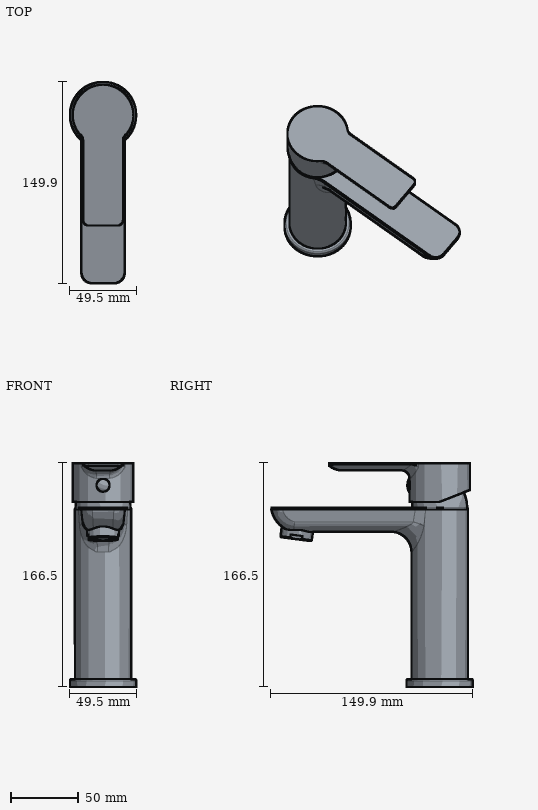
import cadquery as cq
import math


flange_radius = 49.5 / 2
flange_height = 6.0
flange_edge_radius = 1.3

column_radius = 42.1 / 2
spout_top = 133.4
rim_height = 1.3
rim_inset = 0.5
neck_radius = column_radius - rim_inset
neck_curve_radius = 25.5
neck_reach = 15

joint_height = 137.7
joint_slope = 0.39

spout_tip = 125.4
spout_half_width = 32.8 / 2
spout_floor_half_width = 14.5
spout_floor = 115.4
nose_start = 108.7
nose_middle = (120.2, 122.0)
spout_edge_radius = 8.3
spout_root_radius = 15

aerator_radius = 11.8
aerator_tilt = 7.4
aerator_outlet = (0, -106.7, 109.9)
aerator_length = 10
aerator_chamfer = 0.8
recess_radius = 9.7
recess_depth = 0.5
wrench_flat_width = 9.3
wrench_flat_height = 3.0
wrench_flat_distance = 11.0

handle_radius = 45.1 / 2
handle_top = 166.5
lever_tip = 82.1
lever_half_width = 14.7
lever_floor = 161.0
lever_edge_height = 1.0
lever_floor_half_width = 6.0
lever_corner = (11.3, 162.7)
lever_tip_height = 2.0
lever_nose_start = 74.1
lever_nose_middle = (79.0, 162.5)
lever_corner_radius = 3.7
lever_root_radius = 5.8

button_radius = 4.8
button_height = 150.0
button_rim = 22.8
button_crown = 24.1

tolerance = 0.03


def joint_space():
    """The space above the joint faces, wider than the column."""
    reach = 2 * handle_radius
    ceiling = 2 * handle_top
    return (
        cq.Workplane("YZ")
        .moveTo(-reach, joint_height)
        .lineTo(0, joint_height)
        .lineTo(reach, joint_height + joint_slope * reach)
        .lineTo(reach, ceiling)
        .lineTo(-reach, ceiling)
        .close()
        .extrude(reach, both=True)
    )


def on_cylinder(edge, radius):
    """True if the edge lies on the front of an upright cylinder about the Z axis."""
    points = [edge.positionAt(t) for t in (0.05, 0.3, 0.5, 0.7, 0.95)]
    return all(p.y < 0 and abs(math.hypot(p.x, p.y) - radius) < tolerance for p in points)


def root_edges(solid, radius, floor, top):
    """Edges where an arm leaves a cylinder, between the arm's floor and its flat top."""
    return [
        edge
        for edge in solid.edges().vals()
        if on_cylinder(edge, radius) and floor - tolerance < edge.Center().z < top - tolerance
    ]


def make_spout():
    section = (
        cq.Workplane("XZ")
        .moveTo(-spout_half_width, spout_top)
        .lineTo(spout_half_width, spout_top)
        .lineTo(spout_floor_half_width, spout_floor)
        .lineTo(-spout_floor_half_width, spout_floor)
        .close()
        .extrude(spout_tip)
    )
    nose_y, nose_z = nose_middle
    profile = (
        cq.Workplane("YZ")
        .moveTo(0, spout_top)
        .lineTo(-spout_tip, spout_top)
        .threePointArc((-nose_y, nose_z), (-nose_start, spout_floor))
        .lineTo(0, spout_floor)
        .close()
        .extrude(spout_half_width, both=True)
    )
    spout = section.intersect(profile)
    lower_edges = [
        edge
        for edge in spout.edges().vals()
        if abs(edge.Center().x) > spout_floor_half_width / 2
        and edge.Center().y < -tolerance
        and edge.Center().z < spout_top - tolerance
    ]
    return spout.newObject(lower_edges).fillet(spout_edge_radius)


def make_aerator():
    aerator = (
        cq.Workplane("XY")
        .circle(aerator_radius)
        .extrude(aerator_length)
        .faces("<Z")
        .chamfer(aerator_chamfer)
        .faces("<Z")
        .workplane()
        .circle(recess_radius)
        .cutBlind(-recess_depth)
    )
    for side in (-1, 1):
        flat = cq.Workplane("XY").box(
            aerator_radius, wrench_flat_width, wrench_flat_height, centered=(True, True, False)
        )
        aerator = aerator.cut(flat.translate((side * (wrench_flat_distance + aerator_radius / 2), 0, 0)))
    return aerator.rotate((0, 0, 0), (1, 0, 0), -aerator_tilt).translate(aerator_outlet)


def neck_radius_at(rise):
    """Neck radius at a height above the rim: an arc that starts upright."""
    return neck_radius - neck_curve_radius + math.sqrt(neck_curve_radius**2 - rise**2)


def make_neck():
    middle = neck_reach / 2
    neck = (
        cq.Workplane("XZ")
        .moveTo(0, spout_top)
        .lineTo(neck_radius, spout_top)
        .threePointArc(
            (neck_radius_at(middle), spout_top + middle), (neck_radius_at(neck_reach), spout_top + neck_reach)
        )
        .lineTo(0, spout_top + neck_reach)
        .close()
        .revolve(360, (0, 0, 0), (0, 1, 0))
    )
    return neck.cut(joint_space())


def make_body():
    column = cq.Workplane("XY").circle(column_radius).extrude(spout_top)
    body = column.union(make_spout())
    roots = root_edges(body, column_radius, spout_floor, spout_top)
    body = body.newObject(roots).fillet(spout_root_radius)
    body = body.faces(">Z").chamfer(rim_height, rim_inset)
    flange = (
        cq.Workplane("XY")
        .circle(flange_radius)
        .extrude(flange_height)
        .faces(">Z")
        .edges()
        .fillet(flange_edge_radius)
    )
    return body.union(make_neck()).union(make_aerator()).union(flange)


def make_lever():
    edge_z = handle_top - lever_edge_height
    corner_x, corner_z = lever_corner
    section = (
        cq.Workplane("XZ")
        .moveTo(-lever_half_width, handle_top)
        .lineTo(lever_half_width, handle_top)
        .lineTo(lever_half_width, edge_z)
        .threePointArc((corner_x, corner_z), (lever_floor_half_width, lever_floor))
        .lineTo(-lever_floor_half_width, lever_floor)
        .threePointArc((-corner_x, corner_z), (-lever_half_width, edge_z))
        .close()
        .extrude(lever_tip)
    )
    outline = (
        cq.Workplane("XY", origin=(0, 0, lever_floor))
        .rect(2 * lever_half_width, 2 * lever_tip)
        .extrude(handle_top - lever_floor)
        .edges("|Z")
        .fillet(lever_corner_radius)
    )
    nose_y, nose_z = lever_nose_middle
    profile = (
        cq.Workplane("YZ")
        .moveTo(0, handle_top)
        .lineTo(-lever_tip, handle_top)
        .lineTo(-lever_tip, handle_top - lever_tip_height)
        .threePointArc((-nose_y, nose_z), (-lever_nose_start, lever_floor))
        .lineTo(0, lever_floor)
        .close()
        .extrude(lever_half_width, both=True)
    )
    return section.intersect(outline).intersect(profile)


def make_button():
    """Round button from the handle axis to a domed crown in front of the handle."""
    crown = button_crown - button_rim
    dome_radius = (button_radius**2 + crown**2) / (2 * crown)
    barrel = (
        cq.Workplane("XZ", origin=(0, 0, button_height)).circle(button_radius).extrude(button_crown)
    )
    ball = cq.Workplane("XY").sphere(dome_radius).translate((0, dome_radius - button_crown, button_height))
    return barrel.intersect(ball)


def make_handle():
    cap = (
        cq.Workplane("XY", origin=(0, 0, spout_top))
        .circle(handle_radius)
        .extrude(handle_top - spout_top)
        .intersect(joint_space())
    )
    handle = cap.union(make_lever())
    roots = root_edges(handle, handle_radius, lever_floor, handle_top)
    handle = handle.newObject(roots).fillet(lever_root_radius)
    return handle.union(make_button())


body = make_body()
handle = make_handle()

result = cq.Compound.makeCompound([body.solids().val(), handle.solids().val()])